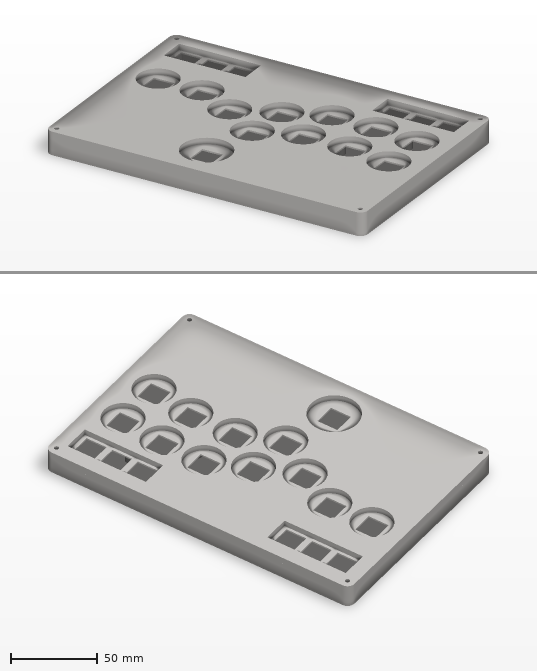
import cadquery as cq

LENGTH = 214.4
WIDTH = 145.8
HEIGHT = 15.2
CORNER_RADIUS = 5.0

COVER_THICKNESS = 4.0
PLATE_THICKNESS = 1.0
CASE_HEIGHT = HEIGHT - COVER_THICKNESS - PLATE_THICKNESS

FLOOR_THICKNESS = 0.6
WALL_THICKNESS = 4.0
BOSS_DIAMETER = 8.0
POST_DIAMETER = 6.0
POST_POINTS = [(70.5, 39.0), (40.7, 13.3)]

SCREW_DIAMETER = 3.0
SCREW_X = LENGTH / 2 - CORNER_RADIUS
SCREW_Y = WIDTH / 2 - CORNER_RADIUS
SCREW_POINTS = [(x, y) for x in (-SCREW_X, SCREW_X) for y in (-SCREW_Y, SCREW_Y)]

SWITCH_SIDE = 14.0
BUTTON_DIAMETER = 26.2
BUTTON_POINTS = [
    (-84.9, 17.8),
    (-55.3, 17.8),
    (-29.0, 4.7),
    (-1.0, 17.0),
    (-3.5, -12.6),
    (26.0, 28.3),
    (55.7, 27.9),
    (85.3, 24.7),
    (24.5, -1.5),
    (55.5, -1.3),
    (84.9, -6.5),
]
THUMB_BUTTON_DIAMETER = 32.2
THUMB_BUTTON_POINT = (-13.3, -47.8)

MENU_LENGTH = 55.0
MENU_WIDTH = 17.5
MENU_PITCH = 18.0
MENU_Y = 54.2
MENU_LEFT_X = -70.0
MENU_RIGHT_X = 70.3
MENU_CENTERS = [(MENU_LEFT_X, MENU_Y), (MENU_RIGHT_X, MENU_Y)]
MENU_KEY_POINTS = [(x + i * MENU_PITCH, y) for x, y in MENU_CENTERS for i in (-1, 0, 1)]


def level(z):
    """Horizontal workplane at height z, centred on the part's vertical axis."""
    return cq.Workplane("XY").workplane(offset=z)


def rounded_slab(bottom, thickness):
    """Slab with the full rounded outline, its underside at the given height."""
    slab = level(bottom).rect(LENGTH, WIDTH).extrude(thickness)
    return slab.edges("|Z").fillet(CORNER_RADIUS)


def cylinders(points, diameter, bottom, height):
    """Equal upright cylinders, one on each point."""
    return level(bottom).pushPoints(points).circle(diameter / 2).extrude(height)


def blocks(points, length, width, bottom, height):
    """Equal upright blocks, one centred on each point."""
    return level(bottom).pushPoints(points).rect(length, width).extrude(height)


def make_case():
    """Open tray with drilled corner bosses and plain posts, all level with its rim."""
    depth = CASE_HEIGHT - FLOOR_THICKNESS
    cavity_length = LENGTH - 2 * WALL_THICKNESS
    cavity_width = WIDTH - 2 * WALL_THICKNESS
    cavity = level(FLOOR_THICKNESS).rect(cavity_length, cavity_width).extrude(depth)
    bosses = cylinders(SCREW_POINTS, BOSS_DIAMETER, FLOOR_THICKNESS, depth)
    posts = cylinders(POST_POINTS, POST_DIAMETER, FLOOR_THICKNESS, depth)
    screw_holes = cylinders(SCREW_POINTS, SCREW_DIAMETER, FLOOR_THICKNESS, depth)
    tray = rounded_slab(0, CASE_HEIGHT).cut(cavity)
    return tray.union(bosses).union(posts).cut(screw_holes)


def make_plate():
    """Thin plate with a square hole for every switch."""
    bottom = CASE_HEIGHT
    switch_points = BUTTON_POINTS + [THUMB_BUTTON_POINT] + MENU_KEY_POINTS
    switch_holes = blocks(switch_points, SWITCH_SIDE, SWITCH_SIDE, bottom, PLATE_THICKNESS)
    screw_holes = cylinders(SCREW_POINTS, SCREW_DIAMETER, bottom, PLATE_THICKNESS)
    return rounded_slab(bottom, PLATE_THICKNESS).cut(switch_holes).cut(screw_holes)


def make_cover():
    """Top cover with round button openings and two menu windows."""
    bottom = CASE_HEIGHT + PLATE_THICKNESS
    cover = rounded_slab(bottom, COVER_THICKNESS)
    openings = [
        cylinders(BUTTON_POINTS, BUTTON_DIAMETER, bottom, COVER_THICKNESS),
        cylinders([THUMB_BUTTON_POINT], THUMB_BUTTON_DIAMETER, bottom, COVER_THICKNESS),
        blocks(MENU_CENTERS, MENU_LENGTH, MENU_WIDTH, bottom, COVER_THICKNESS),
        cylinders(SCREW_POINTS, SCREW_DIAMETER, bottom, COVER_THICKNESS),
    ]
    for opening in openings:
        cover = cover.cut(opening)
    return cover


case = make_case()
plate = make_plate()
cover = make_cover()

result = cq.Compound.makeCompound([case.solids().val(), plate.solids().val(), cover.solids().val()])